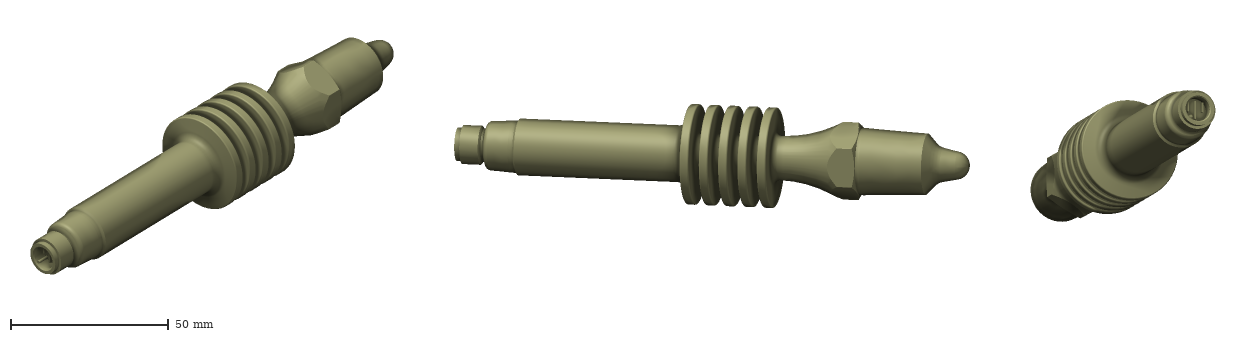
import cadquery as cq
import math

total_length = 165.8

lip_diameter = 10.6
lip_end = 1.8
plug_diameter = 12.5
plug_end = 7.8
neck_chamfer = 0.7
neck_diameter = 10.6
neck_end = 9.1
shoulder_start = 9.8
shoulder_face_diameter = 14.0
shoulder_radius = 1.7
shoulder_end = 11.1
shoulder_small_diameter = 15.8
collar_diameter = 16.5
taper_end = 17.9
collar_end = 19.4

barrel_diameter = 18.0
barrel_start = 20.0
barrel_end = 71.6
flare_diameter = 22.7
flare_end = 74.3
flare_radius = 2.7

fin_count = 5
fin_diameter = 32.0
fin_thickness = 3.0
fin_edge_radius = 0.5
first_fin = 75.1
fin_span = 25.0
fin_pitch = fin_span / (fin_count - 1)
fin_core_diameter = 12.0
fin_root_radius = (fin_pitch - fin_thickness) / 2

waist_diameter = 14.1
waist_fillet = 1.7
waist_arc_start = first_fin + fin_span + fin_thickness + waist_fillet
waist_arc_radius = 39.8

hex_across_flats = 21.9
hex_corner_diameter = 25.2
hex_chamfer_start = 130.0
hex_end = 131.0

sleeve_large_diameter = 21.4
sleeve_small_diameter = 19.5
sleeve_taper_start = 132.2
sleeve_end = 152.2
nose_base_diameter = 14.6
nose_base = 154.5
nose_fillet_radius = 5.0
nose_cone_diameter = 11.0
nose_cone_start = 157.4
dome_diameter = 9.0
dome_start = 162.2
tip_flat_diameter = 2.7

socket_diameter = 7.8
socket_mouth_diameter = 8.5
socket_depth = 4.6
blade_thickness = 0.5
blade_height = 1.5
center_blade_width = 6.0
side_blade_offset = 2.4
side_blade_bottom = -0.5
side_blade_top = 2.7
key_diameter = 1.0
key_x = -2.3
key_z = -2.5
key_end = 0.5


def revolve_about_y(outline):
    return outline.close().revolve(360, (0, 0, 0), (0, 1, 0))


def make_body():
    """Turned body before the fins, hexagon flats and socket are made."""
    hex_corner_radius = hex_corner_diameter / 2
    waist_radius = waist_diameter / 2
    arc_angle = math.acos(1 - (hex_corner_radius - waist_radius) / waist_arc_radius)
    hex_start = waist_arc_start + waist_arc_radius * math.sin(arc_angle)
    arc_middle = (
        waist_radius + waist_arc_radius * (1 - math.cos(arc_angle / 2)),
        waist_arc_start + waist_arc_radius * math.sin(arc_angle / 2),
    )
    last_fin_end = first_fin + fin_span + fin_thickness
    outline = (
        cq.Workplane("XY")
        .lineTo(lip_diameter / 2, 0)
        .lineTo(lip_diameter / 2, lip_end)
        .lineTo(plug_diameter / 2, lip_end)
        .lineTo(plug_diameter / 2, plug_end)
        .lineTo(neck_diameter / 2, plug_end + neck_chamfer)
        .lineTo(neck_diameter / 2, neck_end)
        .lineTo(shoulder_face_diameter / 2, shoulder_start)
        .radiusArc((shoulder_small_diameter / 2, shoulder_end), -shoulder_radius)
        .lineTo(collar_diameter / 2, taper_end)
        .lineTo(collar_diameter / 2, collar_end)
        .lineTo(barrel_diameter / 2, barrel_start)
        .lineTo(barrel_diameter / 2, barrel_end)
        .radiusArc((flare_diameter / 2, flare_end), flare_radius)
        .lineTo(fin_diameter / 2 - fin_edge_radius, first_fin)
        .lineTo(fin_core_diameter / 2, first_fin)
        .lineTo(fin_core_diameter / 2, last_fin_end)
        .lineTo(waist_radius + waist_fillet, last_fin_end)
        .radiusArc((waist_radius, last_fin_end + waist_fillet), waist_fillet)
        .threePointArc(arc_middle, (hex_corner_radius, hex_start))
        .lineTo(hex_corner_radius, hex_chamfer_start)
        .lineTo(sleeve_large_diameter / 2, hex_end)
        .lineTo(sleeve_large_diameter / 2, sleeve_taper_start)
        .lineTo(sleeve_small_diameter / 2, sleeve_end)
        .lineTo(nose_base_diameter / 2, nose_base)
        .radiusArc((nose_cone_diameter / 2, nose_cone_start), nose_fillet_radius)
        .lineTo(dome_diameter / 2, dome_start)
        .radiusArc((tip_flat_diameter / 2, total_length), -dome_diameter / 2)
        .lineTo(0, total_length)
    )
    return revolve_about_y(outline)


def make_fin(start):
    """One rounded disc with a fillet at each root, its -Y face at Y = start."""
    end = start + fin_thickness
    core_radius = fin_core_diameter / 2
    rim_radius = fin_diameter / 2
    outline = (
        cq.Workplane("XY")
        .moveTo(0, start - fin_root_radius)
        .lineTo(core_radius, start - fin_root_radius)
        .radiusArc((core_radius + fin_root_radius, start), fin_root_radius)
        .lineTo(rim_radius - fin_edge_radius, start)
        .radiusArc((rim_radius, start + fin_edge_radius), -fin_edge_radius)
        .lineTo(rim_radius, end - fin_edge_radius)
        .radiusArc((rim_radius - fin_edge_radius, end), -fin_edge_radius)
        .lineTo(core_radius + fin_root_radius, end)
        .radiusArc((core_radius, end + fin_root_radius), fin_root_radius)
        .lineTo(0, end + fin_root_radius)
    )
    return revolve_about_y(outline)


def make_hex_trim():
    """Material outside the hexagon; two flats face X and two corners point along Z."""
    trim_length = hex_end - waist_arc_start
    corner_distance = hex_across_flats / math.cos(math.pi / 6)
    plane = cq.Workplane("XZ", origin=(0, hex_end, 0))
    prism = plane.transformed(rotate=(0, 0, 30)).polygon(6, corner_distance).extrude(trim_length)
    return plane.circle(fin_diameter / 2).extrude(trim_length).cut(prism)


def make_socket():
    """Blind bore with a chamfered mouth."""
    chamfer = (socket_mouth_diameter - socket_diameter) / 2
    outline = (
        cq.Workplane("XY")
        .lineTo(socket_mouth_diameter / 2, 0)
        .lineTo(socket_diameter / 2, chamfer)
        .lineTo(socket_diameter / 2, socket_depth)
        .lineTo(0, socket_depth)
    )
    return revolve_about_y(outline)


def make_blade(x, bottom, top):
    """Flat contact standing on the socket floor."""
    blade = cq.Workplane("XY", origin=(x, socket_depth - blade_height, bottom))
    return blade.box(blade_thickness, blade_height, top - bottom, centered=(True, False, False))


def make_key():
    """Round key along the socket wall."""
    key = cq.Workplane("XZ", origin=(key_x, socket_depth, key_z))
    return key.circle(key_diameter / 2).extrude(socket_depth - key_end)


result = make_body()
for index in range(fin_count):
    result = result.union(make_fin(first_fin + index * fin_pitch))
result = result.cut(make_hex_trim())
result = result.cut(make_socket())
result = result.union(make_blade(0, -center_blade_width / 2, center_blade_width / 2))
for side in (-1, 1):
    result = result.union(make_blade(side * side_blade_offset, side_blade_bottom, side_blade_top))
result = result.union(make_key())